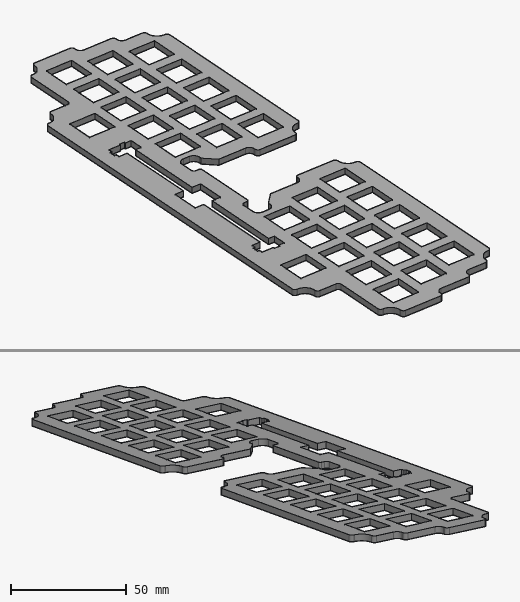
import cadquery as cq
import math

thickness = 3.0
overall_length = 259.2

key_pitch = 19.05
switch_size = 14.0
half_switch = switch_size / 2
keys_per_row = 5
row_stagger = key_pitch / 4
row_y = [key_pitch * step for step in (1.5, 0.5, -0.5, -1.5)]
top_row_y, middle_row_y, bottom_row_y, thumb_row_y = row_y
first_key_x = [1.5 * key_pitch + index * row_stagger for index in range(3)]
last_key_x = [x + (keys_per_row - 1) * key_pitch for x in first_key_x]
thumb_key_x = 3.875 * key_pitch
thumb_key_extra = key_pitch / 4

border = overall_length / 2 - last_key_x[2] - half_switch
edge_offset = half_switch + border
step_offset = 14.0
notch = 7.0
corner_radius = 1.5
step_radius = 2.5
notch_radius = 5.2

recess_outer_x = 27.7
recess_inner_x = 16.8
recess_top_y = -8.3
recess_bottom_y = bottom_row_y - edge_offset + notch
recess_radius = 3.0
throat_depth = 5.5
web_top_y = -13.7
web_corner_radius = 1.0

stabilizer_x = 50.0
stabilizer_width = 7.0
stabilizer_top = 5.5
stabilizer_bottom = -6.7
foot_width = 3.0
foot_depth = 1.0
ear_width = 0.8
wire_slot_top = 2.3
wire_slot_bottom = -2.3
ear_bottom = -0.5


def rounded_outline(corners):
    """Closed outline through (x, y, radius) corners, each rounded by a tangent arc."""
    outline = None
    for index, (x, y, radius) in enumerate(corners):
        corner = cq.Vector(x, y)
        before = cq.Vector(*corners[index - 1][:2])
        after = cq.Vector(*corners[(index + 1) % len(corners)][:2])
        to_before = (before - corner).normalized()
        to_after = (after - corner).normalized()
        half_angle = to_before.getAngle(to_after) / 2
        setback = radius / math.tan(half_angle)
        arc_gap = radius / math.sin(half_angle) - radius
        start = corner + to_before * setback
        middle = corner + (to_before + to_after).normalized() * arc_gap
        end = corner + to_after * setback
        if outline is None:
            outline = cq.Workplane().moveTo(start.x, start.y)
        else:
            outline = outline.lineTo(start.x, start.y)
        if radius > 0:
            outline = outline.threePointArc((middle.x, middle.y), (end.x, end.y))
    return outline.close()


def half_corners():
    """Corners of the +X half, clockwise from the spacebar web to the bottom edge."""
    inner_x = [x - edge_offset for x in first_key_x]
    outer_x = [x + edge_offset for x in last_key_x]
    top_y = top_row_y + edge_offset
    side_bottom_y = bottom_row_y - edge_offset
    bottom_y = thumb_row_y - edge_offset
    thumb_x = thumb_key_x + thumb_key_extra + edge_offset
    inner_step_y = top_row_y - step_offset
    middle_step_y = middle_row_y + step_offset
    bottom_step_y = bottom_row_y + step_offset
    return [
        (recess_inner_x, web_top_y, web_corner_radius),
        (recess_inner_x, recess_bottom_y, corner_radius),
        (recess_outer_x, recess_bottom_y, recess_radius),
        (recess_outer_x, recess_top_y, recess_radius),
        (inner_x[1] + throat_depth, recess_top_y, 0),
        (inner_x[1], recess_top_y + throat_depth, 0),
        (inner_x[1], inner_step_y, step_radius),
        (inner_x[0], inner_step_y, corner_radius),
        (inner_x[0], top_y - notch, corner_radius),
        (inner_x[0] + notch, top_y - notch, notch_radius),
        (inner_x[0] + notch, top_y, corner_radius),
        (outer_x[0] - notch, top_y, corner_radius),
        (outer_x[0] - notch, top_y - notch, notch_radius),
        (outer_x[0], top_y - notch, corner_radius),
        (outer_x[0], middle_step_y, step_radius),
        (outer_x[1], middle_step_y, corner_radius),
        (outer_x[1], bottom_step_y, step_radius),
        (outer_x[2], bottom_step_y, corner_radius),
        (outer_x[2], side_bottom_y + notch, corner_radius),
        (outer_x[2] - notch, side_bottom_y + notch, notch_radius),
        (outer_x[2] - notch, side_bottom_y, corner_radius),
        (thumb_x, side_bottom_y, corner_radius),
        (thumb_x, bottom_y + notch, corner_radius),
        (thumb_x - notch, bottom_y + notch, notch_radius),
        (thumb_x - notch, bottom_y, corner_radius),
    ]


def plate():
    right = half_corners()
    left = [(-x, y, radius) for x, y, radius in reversed(right)]
    return rounded_outline(right + left).extrude(thickness)


def switch_cutouts():
    right = [
        (start_x + column * key_pitch, y)
        for start_x, y in zip(first_key_x, row_y)
        for column in range(keys_per_row)
    ]
    right.append((thumb_key_x, thumb_row_y))
    left = [(-x, y) for x, y in right]
    centres = right + left + [(0, thumb_row_y)]
    return cq.Workplane().pushPoints(centres).rect(switch_size, switch_size).extrude(thickness)


def thumb_row_window(x_min, x_max, bottom, top):
    """Rectangular through cutter with heights given relative to the thumb row."""
    return (
        cq.Workplane()
        .center((x_min + x_max) / 2, thumb_row_y + (bottom + top) / 2)
        .rect(x_max - x_min, top - bottom)
        .extrude(thickness)
    )


def stabilizer_cutout():
    inner_x = stabilizer_x - stabilizer_width / 2
    outer_x = stabilizer_x + stabilizer_width / 2
    foot_inner_x = stabilizer_x - foot_width / 2
    foot_outer_x = stabilizer_x + foot_width / 2
    foot_bottom = stabilizer_bottom - foot_depth
    housing = thumb_row_window(inner_x, outer_x, stabilizer_bottom, stabilizer_top)
    foot = thumb_row_window(foot_inner_x, foot_outer_x, foot_bottom, stabilizer_top)
    ear = thumb_row_window(inner_x, outer_x + ear_width, ear_bottom, wire_slot_top)
    wire_slot = thumb_row_window(0, stabilizer_x, wire_slot_bottom, wire_slot_top)
    right = housing.union(foot).union(ear).union(wire_slot)
    return right.union(right.mirror("YZ"))


result = plate().cut(switch_cutouts()).cut(stabilizer_cutout())